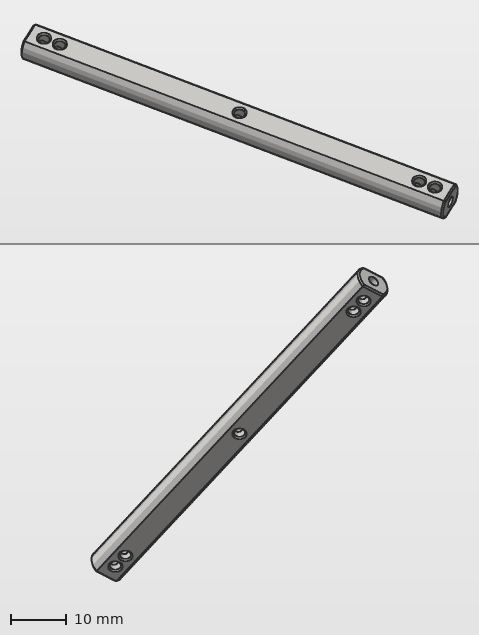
import cadquery as cq

rod_length = 84.38
rod_diameter = 6.6
height_across_flats = 5.0
end_chamfer = 0.3

bore_diameter = 2.0

cross_hole_diameter = 2.0
countersink_diameter = 2.6
countersink_depth = (countersink_diameter - cross_hole_diameter) / 2
outer_hole_spacing = 78.15
pair_pitch = 3.15
outer_hole_x = outer_hole_spacing / 2
inner_hole_x = outer_hole_x - pair_pitch
cross_hole_positions = [-outer_hole_x, -inner_hole_x, 0, inner_hole_x, outer_hole_x]


def make_rod():
    """Round bar cut to two flats, with both end outlines chamfered."""
    bar = cq.Workplane("YZ").circle(rod_diameter / 2).extrude(rod_length / 2, both=True)
    flats = cq.Workplane("XY").box(rod_length, rod_diameter, height_across_flats)
    return bar.intersect(flats).faces("<X or >X").edges().chamfer(end_chamfer)


def make_bore():
    """Cylinder along the full length of the rod axis."""
    return cq.Workplane("YZ").circle(bore_diameter / 2).extrude(rod_length / 2, both=True)


def make_cross_hole(x):
    """Vertical through hole, countersunk at both flats, as a revolved half profile."""
    hole_radius = cross_hole_diameter / 2
    mouth_radius = countersink_diameter / 2
    flat_z = height_across_flats / 2
    throat_z = flat_z - countersink_depth
    profile = (
        cq.Workplane("XZ")
        .moveTo(0, -flat_z)
        .lineTo(mouth_radius, -flat_z)
        .lineTo(hole_radius, -throat_z)
        .lineTo(hole_radius, throat_z)
        .lineTo(mouth_radius, flat_z)
        .lineTo(0, flat_z)
        .close()
    )
    return profile.revolve(360, (0, 0), (0, 1)).translate((x, 0, 0))


result = make_rod().cut(make_bore())
for hole_x in cross_hole_positions:
    result = result.cut(make_cross_hole(hole_x))